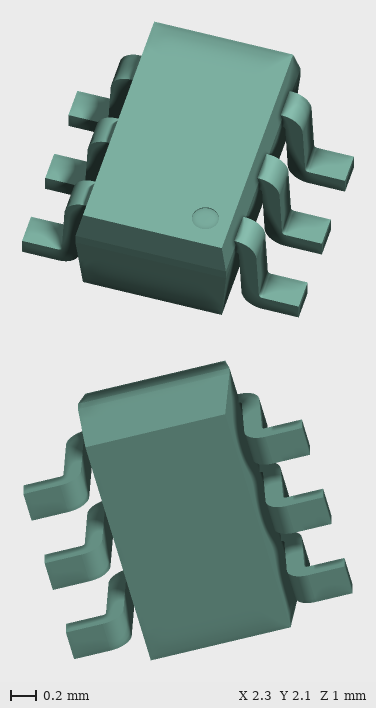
import cadquery as cq
import math

body_width = 1.251
body_length = 2.1
taper_inset = 0.048
body_bottom = 0.105
belt_bottom = 0.678
belt_top = 0.768
body_top = 1.0

mark_diameter = 0.216
mark_depth = 0.01
mark_x = 0.368
mark_y = -0.755

lead_span = 2.3
lead_width = 0.25
lead_pitch = 0.65
lead_thickness = 0.145
foot_length = 0.304
outer_bend_radius = 0.172
inner_bend_radius = outer_bend_radius - lead_thickness
shoulder_top = 0.819
root_depth = 0.115


def tapered_half(belt_level, height):
    """Frustum from the belt outline to the smaller end face; a negative height goes down."""
    return (
        cq.Workplane("XY")
        .workplane(offset=belt_level)
        .rect(body_width, body_length)
        .workplane(offset=height)
        .rect(body_width - 2 * taper_inset, body_length - 2 * taper_inset)
        .loft(ruled=True)
    )


def make_body():
    belt = (
        cq.Workplane("XY")
        .workplane(offset=belt_bottom)
        .rect(body_width, body_length)
        .extrude(belt_top - belt_bottom)
    )
    upper = tapered_half(belt_top, body_top - belt_top)
    lower = tapered_half(belt_bottom, body_bottom - belt_bottom)
    mark = (
        cq.Workplane("XY")
        .workplane(offset=body_top - mark_depth)
        .center(mark_x, mark_y)
        .circle(mark_diameter / 2)
        .extrude(mark_depth)
    )
    return belt.union(upper).union(lower).cut(mark)


def make_lead():
    """Lead on the +X side, centred on Y = 0: shoulder, bend, sloping leg, bend, foot."""
    tip_x = lead_span / 2
    root_x = body_width / 2 - root_depth

    upper_x = body_width / 2
    upper_z = shoulder_top - outer_bend_radius
    lower_x = tip_x - foot_length
    lower_z = outer_bend_radius

    run = lower_x - upper_x
    drop = upper_z - lower_z
    center_distance = math.hypot(run, drop)
    radius_sum = outer_bend_radius + inner_bend_radius
    lean = math.atan2(run, drop) - math.asin(radius_sum / center_distance)

    def upper_bend(radius, angle):
        """Point on the upper bend, with the angle measured up from +X."""
        return (upper_x + radius * math.cos(angle), upper_z + radius * math.sin(angle))

    def lower_bend(radius, angle):
        """Point on the lower bend, with the angle measured down from -X."""
        return (lower_x - radius * math.cos(angle), lower_z - radius * math.sin(angle))

    flat = math.pi / 2
    middle = (lean + flat) / 2
    profile = (
        cq.Workplane("XZ")
        .moveTo(root_x, shoulder_top)
        .lineTo(*upper_bend(outer_bend_radius, flat))
        .threePointArc(upper_bend(outer_bend_radius, middle), upper_bend(outer_bend_radius, lean))
        .lineTo(*lower_bend(inner_bend_radius, lean))
        .threePointArc(lower_bend(inner_bend_radius, middle), lower_bend(inner_bend_radius, flat))
        .lineTo(tip_x, lead_thickness)
        .lineTo(tip_x, 0)
        .lineTo(*lower_bend(outer_bend_radius, flat))
        .threePointArc(lower_bend(outer_bend_radius, middle), lower_bend(outer_bend_radius, lean))
        .lineTo(*upper_bend(inner_bend_radius, lean))
        .threePointArc(upper_bend(inner_bend_radius, middle), upper_bend(inner_bend_radius, flat))
        .lineTo(root_x, shoulder_top - lead_thickness)
        .close()
    )
    return profile.extrude(lead_width / 2, both=True)


result = make_body()
right_lead = make_lead()
left_lead = right_lead.mirror("YZ")
for row in (-1, 0, 1):
    for lead in (right_lead, left_lead):
        result = result.union(lead.translate((0, row * lead_pitch, 0)))